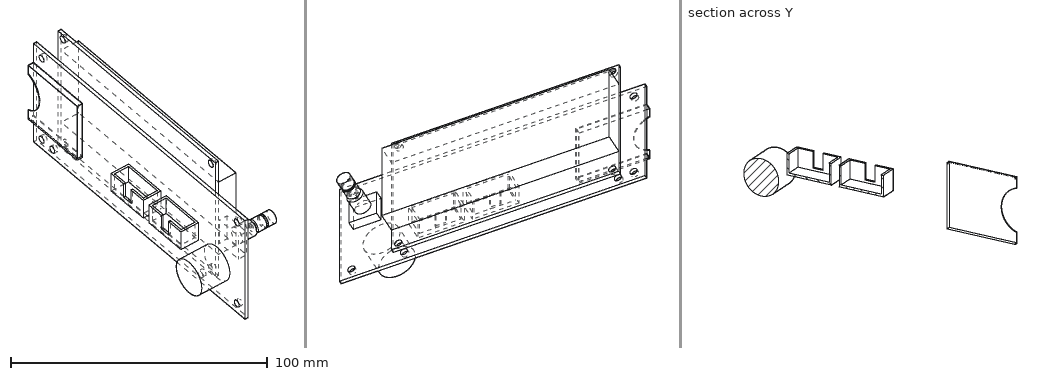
import cadquery as cq


board_length = 132.0
board_height = 51.6
board_thickness = 1.6
hole_diameter = 3.0
board_hole_xs = (5.0, 126.9)
board_hole_zs = (4.6, 47.1)

display_left = 8.8
display_length = 98.2
display_board_bottom = 1.6
display_board_height = 59.9
board_gap = 3.5
display_hole_xs = (11.7, 104.1)
display_hole_zs = (4.1, 59.0)
display_block_bottom = 12.7
display_block_height = 37.9
display_block_thickness = 8.7
display_board_front = board_thickness + board_gap
display_board_rear = display_board_front + board_thickness

card_length = 30.8
card_bottom = 13.6
card_height = 28.1
card_thickness = 2.8
card_wall = 0.4
thumb_radius = 9.8
thumb_depth = 7.0

header_length = 20.0
header_height = 9.2
header_thickness = 8.7
header_bottom = 21.0
header_end_wall = 1.0
header_side_wall = 0.9
header_cavity_depth = 8.0
header_key_width = 4.5
header_key_depth = 7.0
header_centers = (69.4, 92.9)

buzzer_diameter = 16.0
buzzer_length = 14.0
buzzer_x = 114.6
buzzer_z = 17.5

encoder_x = 120.0
encoder_z = 32.5
encoder_base_size = 12.0
encoder_base_thickness = 4.0
bushing_diameter = 7.0
bushing_length = 7.1
shaft_diameter = 6.0
shaft_neck_diameter = 3.5
shaft_neck_length = 1.2
shaft_length = 9.1
shaft_groove_diameter = 5.5
shaft_groove_offset = 4.4
shaft_groove_width = 0.8


def block(x, y, z, length, thickness, height):
    """Box whose lowest X, Y and Z corner is at (x, y, z)."""
    return cq.Workplane("XY").box(length, thickness, height, centered=False).translate((x, y, z))


def rod(x, y, z, diameter, length):
    """Cylinder running in +Y from its end face at (x, y, z)."""
    solid = cq.Solid.makeCylinder(diameter / 2, length, cq.Vector(x, y, z), cq.Vector(0, 1, 0))
    return cq.Workplane(solid)


def drill(plate, front, xs, zs):
    """Drill the mounting holes on a grid of positions through a board."""
    for x in xs:
        for z in zs:
            plate = plate.cut(rod(x, front, z, hole_diameter, board_thickness))
    return plate


def make_main_board():
    plate = block(0, 0, 0, board_length, board_thickness, board_height)
    plate = drill(plate, 0, board_hole_xs, board_hole_zs)
    return drill(plate, 0, display_hole_xs, display_hole_zs[:1])


def make_display_board():
    plate = block(
        display_left, display_board_front, display_board_bottom,
        display_length, board_thickness, display_board_height,
    )
    return drill(plate, display_board_front, display_hole_xs, display_hole_zs)


def make_display_block():
    return block(
        display_left, display_board_rear, display_block_bottom,
        display_length, display_block_thickness, display_block_height,
    )


def make_card_holder():
    cover = block(0, -card_thickness, card_bottom, card_length, card_thickness, card_height)
    card_slot = block(
        0, card_wall - card_thickness, card_bottom + card_wall,
        card_length - card_wall, card_thickness - card_wall, card_height - 2 * card_wall,
    )
    thumb_notch = rod(
        thumb_depth - thumb_radius, -card_thickness, card_bottom + card_height / 2,
        2 * thumb_radius, card_wall,
    )
    return cover.cut(card_slot).cut(thumb_notch)


def make_header(center_x):
    left = center_x - header_length / 2
    top = header_bottom + header_height
    shell = block(left, -header_thickness, header_bottom, header_length, header_thickness, header_height)
    cavity = block(
        left + header_end_wall, header_side_wall - header_thickness, top - header_cavity_depth,
        header_length - 2 * header_end_wall, header_thickness - 2 * header_side_wall, header_cavity_depth,
    )
    key_slot = block(
        center_x - header_key_width / 2, -header_thickness, top - header_key_depth,
        header_key_width, header_side_wall, header_key_depth,
    )
    return shell.cut(cavity).cut(key_slot)


def make_buzzer():
    return rod(buzzer_x, -buzzer_length, buzzer_z, buzzer_diameter, buzzer_length)


def make_encoder_body():
    base = block(
        encoder_x - encoder_base_size / 2, board_thickness, encoder_z - encoder_base_size / 2,
        encoder_base_size, encoder_base_thickness, encoder_base_size,
    )
    bushing_start = board_thickness + encoder_base_thickness
    return base.union(rod(encoder_x, bushing_start, encoder_z, bushing_diameter, bushing_length))


def make_encoder_shaft():
    neck_start = board_thickness + encoder_base_thickness + bushing_length
    shaft_start = neck_start + shaft_neck_length
    groove_start = shaft_start + shaft_groove_offset
    groove_end = groove_start + shaft_groove_width
    end_length = shaft_start + shaft_length - groove_end
    neck = rod(encoder_x, neck_start, encoder_z, shaft_neck_diameter, shaft_neck_length)
    inner = rod(encoder_x, shaft_start, encoder_z, shaft_diameter, shaft_groove_offset)
    groove = rod(encoder_x, groove_start, encoder_z, shaft_groove_diameter, shaft_groove_width)
    outer = rod(encoder_x, groove_end, encoder_z, shaft_diameter, end_length)
    return neck.union(inner).union(groove).union(outer)


main_board = make_main_board()
display_board = make_display_board()
display_block = make_display_block()
card_holder = make_card_holder()
headers = [make_header(center_x) for center_x in header_centers]
buzzer = make_buzzer()
encoder_body = make_encoder_body()
encoder_shaft = make_encoder_shaft()

result = cq.Compound.makeCompound([
    main_board.val(),
    display_board.val(),
    display_block.val(),
    card_holder.val(),
    *[header.val() for header in headers],
    buzzer.val(),
    encoder_body.val(),
    encoder_shaft.val(),
])